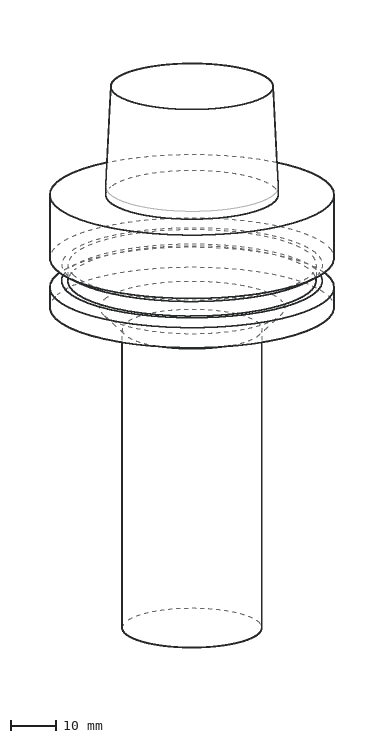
import cadquery as cq

total_height = 125.0
spigot_height = 25.0
spigot_land_height = 1.9
flange_height = 26.0
groove_depth_from_face = 18.0
groove_width = 6.8
groove_floor_width = 3.8
neck_height = 5.0

shank_diameter = 31.0
neck_diameter = shank_diameter + 2 * neck_height
flange_diameter = 63.0
groove_diameter = 55.0
groove_ledge_diameter = 57.8
spigot_base_diameter = 38.2
spigot_top_diameter = 36.0

flange_top = total_height - spigot_height
flange_bottom = flange_top - flange_height
groove_centre = flange_top - groove_depth_from_face


def frustum(bottom, top, bottom_diameter, top_diameter):
    """Solid cone section about Z; equal diameters give a cylinder."""
    half_profile = (
        cq.Workplane("XZ")
        .moveTo(0, bottom)
        .lineTo(bottom_diameter / 2, bottom)
        .lineTo(top_diameter / 2, top)
        .lineTo(0, top)
        .close()
    )
    return half_profile.revolve(360, (0, 0), (0, 1))


def shank():
    """Cylindrical shank with a conical neck that widens below the flange."""
    neck_bottom = flange_bottom - neck_height
    cylinder = frustum(0, neck_bottom, shank_diameter, shank_diameter)
    neck = frustum(neck_bottom, flange_bottom, shank_diameter, neck_diameter)
    return cylinder.union(neck)


def gripper_groove():
    """Ring cutter with a straight slot at its floor and sides flaring out to the rim."""
    half_profile = (
        cq.Workplane("XZ")
        .moveTo(flange_diameter / 2, groove_centre - groove_width / 2)
        .lineTo(groove_ledge_diameter / 2, groove_centre - groove_floor_width / 2)
        .lineTo(groove_diameter / 2, groove_centre - groove_floor_width / 2)
        .lineTo(groove_diameter / 2, groove_centre + groove_floor_width / 2)
        .lineTo(groove_ledge_diameter / 2, groove_centre + groove_floor_width / 2)
        .lineTo(flange_diameter / 2, groove_centre + groove_width / 2)
        .close()
    )
    return half_profile.revolve(360, (0, 0), (0, 1))


def flange():
    """Wide disc with the gripper groove around its rim."""
    disc = frustum(flange_bottom, flange_top, flange_diameter, flange_diameter)
    return disc.cut(gripper_groove())


def spigot():
    """Short cylindrical land below a slightly tapered plug."""
    taper_bottom = flange_top + spigot_land_height
    land = frustum(flange_top, taper_bottom, spigot_base_diameter, spigot_base_diameter)
    taper = frustum(taper_bottom, total_height, spigot_base_diameter, spigot_top_diameter)
    return land.union(taper)


result = shank().union(flange()).union(spigot())